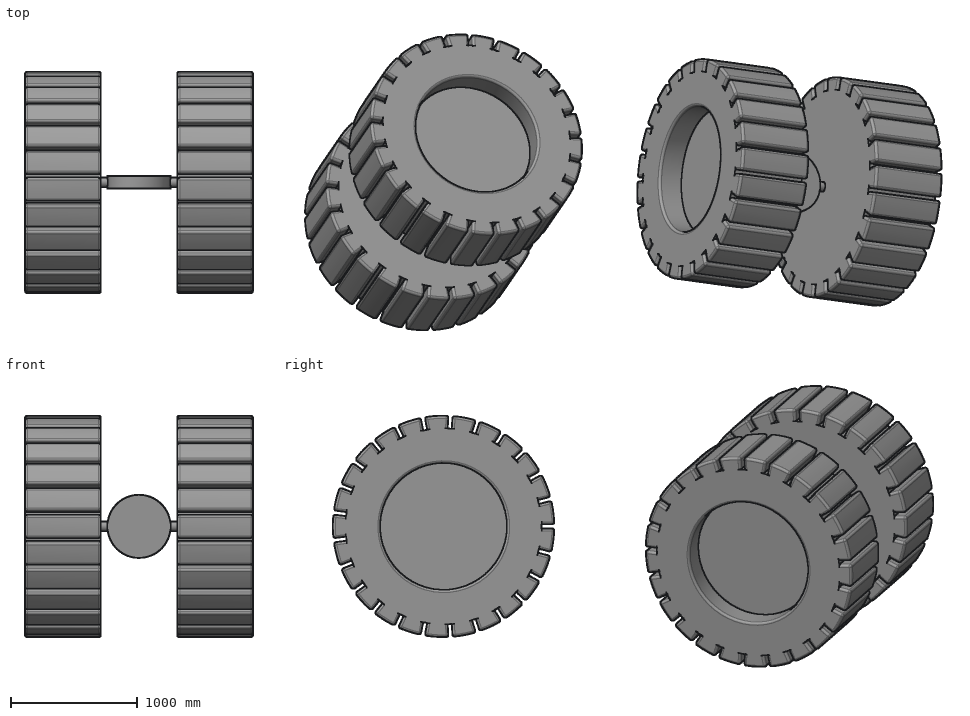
import cadquery as cq
import math

overall_length = 1800.0
wheel_width = overall_length / 3
wheel_inner_x = overall_length / 2 - wheel_width

wheel_radius = 875.0
groove_depth = 100.0
groove_width = 30.0
tooth_count = 25
edge_fillet = 20.0
hub_radius = wheel_radius - groove_depth
tooth_embed = 54.0

recess_diameter = 1000.0
recess_depth = 200.0

axle_diameter = 80.0
disc_diameter = 500.0
disc_thickness = 100.0


def make_tooth():
    """Tread tooth centred on -Y, with walls parallel to the grooves beside it."""
    half_pitch = math.pi / tooth_count
    half_groove = groove_width / 2
    root_radius = hub_radius - tooth_embed

    def wall_point(radius):
        angle = half_pitch - math.asin(half_groove / radius)
        return -radius * math.cos(angle), radius * math.sin(angle)

    root_y, root_z = wall_point(root_radius)
    tip_y, tip_z = wall_point(wheel_radius)
    return (
        cq.Workplane("YZ", origin=(wheel_inner_x, 0, 0))
        .moveTo(root_y, -root_z)
        .lineTo(tip_y, -tip_z)
        .threePointArc((-wheel_radius, 0), (tip_y, tip_z))
        .lineTo(root_y, root_z)
        .close()
        .extrude(wheel_width)
        .edges("not >Y")
        .fillet(edge_fillet)
    )


def make_wheel():
    """Wheel on the +X side, recessed on its outer face."""
    hub = cq.Workplane("YZ", origin=(wheel_inner_x, 0, 0)).circle(hub_radius).extrude(wheel_width)
    hub = hub.faces(">X").workplane().circle(recess_diameter / 2).cutBlind(-recess_depth)
    hub = hub.faces(">X").edges(cq.selectors.RadiusNthSelector(0)).fillet(edge_fillet)

    tooth = make_tooth().val()
    pitch_angle = 360 / tooth_count
    teeth = [tooth.rotate((0, 0, 0), (1, 0, 0), i * pitch_angle) for i in range(tooth_count)]
    return cq.Workplane(hub.val().fuse(*teeth).clean())


wheel = make_wheel()
axle = cq.Workplane("YZ").circle(axle_diameter / 2).extrude(wheel_inner_x, both=True)
disc = (
    cq.Workplane("XZ", origin=(0, disc_thickness / 2, 0))
    .circle(disc_diameter / 2)
    .extrude(disc_thickness)
)

result = axle.union(disc).union(wheel).union(wheel.mirror("YZ"))